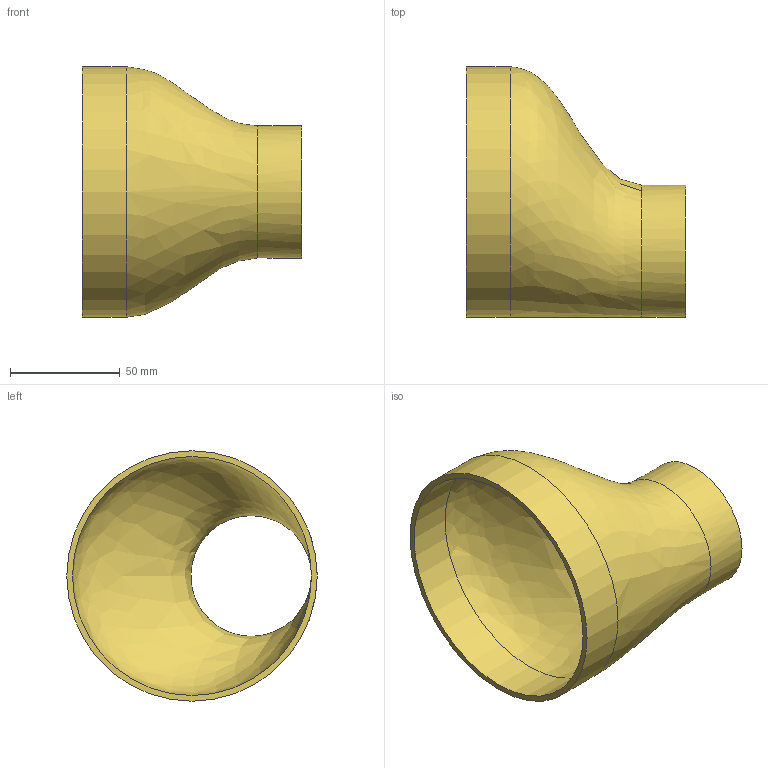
import math

import cadquery as cq

large_diameter = 114.3
small_diameter = 60.3
wall = 2.6
total_length = 100.0
collar_length = 20.0
section_count = 13

cone_length = total_length - 2 * collar_length
large_radius = large_diameter / 2
small_radius = small_diameter / 2
flush_y = -large_radius
flow_direction = cq.Vector(1, 0, 0)

flush_handle = cone_length / 3
far_handle = math.hypot(cone_length, large_diameter - small_diameter) / 3


def cone_radius(t):
    """Outer radius at curve parameter t, from 0 at the large collar to 1 at the small one."""
    blend = t**2 * (3 - 2 * t)
    return large_radius + (small_radius - large_radius) * blend


def cone_x(t, handle):
    """X position at curve parameter t on a lengthwise line with the given end handles."""
    near_term = 3 * (1 - t) ** 2 * t * handle
    far_term = 3 * (1 - t) * t**2 * (cone_length - handle)
    return collar_length + near_term + far_term + t**3 * cone_length


def cone_section(t, inset):
    """Tilted elliptical section that looks like a circle along X."""
    outer_radius = cone_radius(t)
    radius = outer_radius - inset
    flush_x = cone_x(t, flush_handle)
    far_x = cone_x(t, far_handle)
    half_tilt = (flush_x - far_x) / 2 * radius / outer_radius
    center = cq.Vector((flush_x + far_x) / 2, flush_y + outer_radius, 0)
    toward_flush = cq.Vector(half_tilt, -radius, 0)
    normal = cq.Vector(radius, half_tilt, 0)
    return cq.Wire.makeEllipse(math.hypot(half_tilt, radius), radius, center, normal, toward_flush)


def cone(inset):
    """Smooth eccentric transition between the two collars."""
    last = section_count - 1
    sections = [cone_section(index / last, inset) for index in range(section_count)]
    return cq.Workplane(cq.Solid.makeLoft(sections))


def collar(x_start, outer_radius, inset):
    """Straight cylindrical end of the reducer."""
    center = cq.Vector(x_start, flush_y + outer_radius, 0)
    cylinder = cq.Solid.makeCylinder(outer_radius - inset, collar_length, center, flow_direction)
    return cq.Workplane(cylinder)


def reducer_body(inset):
    """Solid reducer shape, shrunk radially by the inset."""
    large_end = collar(0, large_radius, inset)
    small_end = collar(total_length - collar_length, small_radius, inset)
    return large_end.union(cone(inset)).union(small_end)


outside = reducer_body(0)
bore = reducer_body(wall)
result = outside.cut(bore)